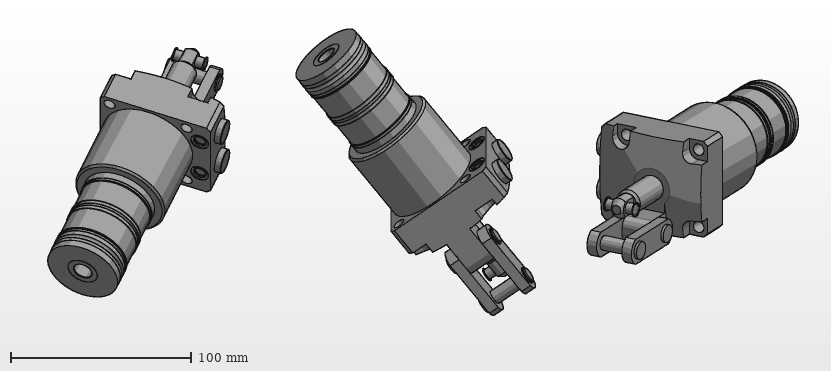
import cadquery as cq
import math


OVERALL_LENGTH = 175.5
CLEARANCE = 1.8

FLANGE_LEFT = 28.6
FLANGE_RIGHT = 37.4
FLANGE_HALF_HEIGHT = 57.0 / 2
FLANGE_CORNER = 2.5
CAP_TOP = 29.1
CAP_FLAT_RADIUS = 11.4
CAP_ANGLE = 15
BOLT_OFFSET = 23.0
BOLT_RADIUS = 3.3
SEAT_RADIUS = 6.0
SEAT_HEIGHT = 17.0

LINK_INNER = 8.0
LINK_THICKNESS = 6.1
LINK_OUTER = LINK_INNER + LINK_THICKNESS
LINK_HEIGHT = 15.0
LINK_END_RADIUS = 16.3 / 2
LINK_Z = LINK_HEIGHT / 2 - FLANGE_HALF_HEIGHT
NEAR_PIN_Y = 39.0
PIN_SPACING = 29.8
FAR_PIN_Y = NEAR_PIN_Y + PIN_SPACING
PIN_YS = [NEAR_PIN_Y, FAR_PIN_Y]
LUG_END = 48.3
LUG_FILLET = 5.3
FOOT_TOP = -5.3
PIN_RADIUS = 8.2 / 2
PIN_HEAD_RADIUS = 5.1
PIN_OVERHANG = 1.5
RETAINER_THICKNESS = 0.7

CYLINDER_RADIUS = 26.7
CYLINDER_LENGTH = 43.0
CYLINDER_CHAMFER = 1.2
SPIGOT_RADIUS = 21.0
SPIGOT_END = OVERALL_LENGTH - (FAR_PIN_Y + LINK_END_RADIUS)
RELIEF_DEPTH = 0.5
RELIEFS = [(49.1, 63.9), (70.0, 84.8)]
SEAL_GROOVE_STARTS = [47.0, 66.2, 85.6]
SEAL_GROOVE_WIDTH = 1.5
SEAL_GROOVE_DEPTH = 0.4
RING_GROOVE_CENTRE = 91.3
RING_GROOVE_RADIUS = 1.2
TIP_START = 94.6
TIP_STEP = 0.2
END_PORT_RADIUS = 5.3
END_PORT_DEPTH = 10.5
END_PORT_CHAMFER = 0.4
SPOT_FACE_RADIUS = 8.8
SPOT_FACE_DEPTH = 0.2

PORT_X = 30.7
PORT_Z = 14.0
PORT_RADIUS = 3.7
PORT_DEPTH = 1.4
PORT_STEP_RADIUS = 3.2
PORT_STEP_DEPTH = 1.8
SEAL_POCKET_RADIUS = 5.3
SEAL_POCKET_DEPTH = 0.5
PLUG_Y = 12.5
PLUG_Z = 13.0
PLUG_RADIUS = 7.0
PLUG_LENGTH = 3.9
PLUG_CHAMFER = 0.4

ROD_RADIUS = 14.5 / 2
ROD_SHOULDER = 56.3
ROD_SHOULDER_CHAMFER = 1.5
NECK_RADIUS = 11.8 / 2
NECK_WIDTH = 7.7
NECK_END = 68.8
NECK_CHAMFER = 3.2
ROD_PIN_Y = 63.0
ROD_PIN_RADIUS = 3.2
ROD_PIN_HALF_LENGTH = 9.3
ROD_PIN_HEAD_RADIUS = 4.0
ROD_PIN_HEAD_THICKNESS = 0.5


def cylinder_along_y(radius, start, end, x=0.0, z=0.0):
    return cq.Workplane("XZ", origin=(x, start, z)).circle(radius).extrude(start - end)


def cylinder_along_x(radius, start, end, y, z=0.0):
    return cq.Workplane("YZ", origin=(start, y, z)).circle(radius).extrude(end - start)


def box_between(x_range, y_range, z_range):
    sizes = [high - low for low, high in (x_range, y_range, z_range)]
    corner = (x_range[0], y_range[0], z_range[0])
    return cq.Workplane("XY").box(*sizes, centered=False).translate(corner)


def ring_cut(start, end, depth):
    """Square groove of the spigot between two distances below the mounting face."""
    outer = cylinder_along_y(SPIGOT_RADIUS + CLEARANCE, -end, -start)
    return outer.cut(cylinder_along_y(SPIGOT_RADIUS - depth, -end, -start))


def make_flange():
    flange = box_between(
        (-FLANGE_LEFT, FLANGE_RIGHT), (0, CAP_TOP), (-FLANGE_HALF_HEIGHT, FLANGE_HALF_HEIGHT)
    )
    flange = flange.edges("|Y").chamfer(FLANGE_CORNER)

    reach = FLANGE_LEFT + FLANGE_RIGHT
    shoulder = CAP_TOP - (reach - CAP_FLAT_RADIUS) * math.tan(math.radians(CAP_ANGLE))
    envelope = (
        cq.Workplane("XY")
        .polyline([(0, 0), (reach, 0), (reach, shoulder), (CAP_FLAT_RADIUS, CAP_TOP), (0, CAP_TOP)])
        .close()
        .revolve(360, (0, 0, 0), (0, 1, 0))
    )
    return flange.intersect(envelope)


def bolt_cut(side_x, side_z):
    """Bolt hole and the open recess around its head; the -X recesses are open on two sides."""
    x = side_x * BOLT_OFFSET
    z = side_z * BOLT_OFFSET
    far_z = side_z * (FLANGE_HALF_HEIGHT + CLEARANCE)
    seat = cylinder_along_y(SEAT_RADIUS, SEAT_HEIGHT, CAP_TOP, x, z)
    slot = box_between(
        (x - SEAT_RADIUS, x + SEAT_RADIUS), (SEAT_HEIGHT, CAP_TOP), sorted((z, far_z))
    )
    seat = seat.union(slot)
    if side_x < 0:
        side_slot = box_between(
            (-FLANGE_LEFT - CLEARANCE, x), (SEAT_HEIGHT, CAP_TOP), sorted((z - side_z * SEAT_RADIUS, far_z))
        )
        seat = seat.union(side_slot)
    return seat.union(cylinder_along_y(BOLT_RADIUS, 0, CAP_TOP, x, z))


def make_lower_body():
    """Cylinder and grooved spigot, with the port in the end face."""
    cylinder = cylinder_along_y(CYLINDER_RADIUS, -CYLINDER_LENGTH, 0)
    cylinder = cylinder.faces("<Y").chamfer(CYLINDER_CHAMFER)
    body = cylinder.union(cylinder_along_y(SPIGOT_RADIUS, -SPIGOT_END, 0))

    for start, end in RELIEFS:
        body = body.cut(ring_cut(start, end, RELIEF_DEPTH))
    for start in SEAL_GROOVE_STARTS:
        body = body.cut(ring_cut(start, start + SEAL_GROOVE_WIDTH, SEAL_GROOVE_DEPTH))
    body = body.cut(ring_cut(TIP_START, SPIGOT_END, TIP_STEP))

    ring_groove = (
        cq.Workplane("XY")
        .center(SPIGOT_RADIUS, -RING_GROOVE_CENTRE)
        .circle(RING_GROOVE_RADIUS)
        .revolve(360, (-SPIGOT_RADIUS, 0, 0), (-SPIGOT_RADIUS, 1, 0))
    )
    body = body.cut(ring_groove)

    port_end = SPOT_FACE_DEPTH - SPIGOT_END
    body = body.cut(cylinder_along_y(SPOT_FACE_RADIUS, -SPIGOT_END, port_end))
    port = cylinder_along_y(END_PORT_RADIUS, port_end, END_PORT_DEPTH - SPIGOT_END)
    mouth = cq.Workplane("XZ", origin=(0, port_end, 0)).circle(END_PORT_RADIUS + END_PORT_CHAMFER)
    mouth = mouth.extrude(-END_PORT_CHAMFER, taper=45)
    return body.cut(port).cut(mouth)


def oil_port(z):
    pocket = cylinder_along_y(SEAL_POCKET_RADIUS, 0, SEAL_POCKET_DEPTH, PORT_X, z)
    bore = cylinder_along_y(PORT_RADIUS, 0, PORT_DEPTH, PORT_X, z)
    step = cylinder_along_y(PORT_STEP_RADIUS, 0, PORT_STEP_DEPTH, PORT_X, z)
    return pocket.union(bore).union(step)


def make_plug(z):
    plug = cylinder_along_x(PLUG_RADIUS, FLANGE_RIGHT, FLANGE_RIGHT + PLUG_LENGTH, PLUG_Y, z)
    return plug.faces(">X").chamfer(PLUG_CHAMFER)


def make_rod():
    """Piston rod, its flattened neck and the headed cross pin through the neck."""
    shaft = cylinder_along_y(ROD_RADIUS, 0, ROD_SHOULDER).faces(">Y").chamfer(ROD_SHOULDER_CHAMFER)
    neck = cylinder_along_y(NECK_RADIUS, ROD_SHOULDER, NECK_END).faces(">Y").chamfer(NECK_CHAMFER)
    flats = box_between(
        (-NECK_WIDTH / 2, NECK_WIDTH / 2), (ROD_SHOULDER, NECK_END), (-NECK_RADIUS, NECK_RADIUS)
    )
    rod = shaft.union(neck.intersect(flats))

    end = ROD_PIN_HALF_LENGTH
    rod = rod.union(cylinder_along_x(ROD_PIN_RADIUS, -end, end, ROD_PIN_Y))
    for start in (-end, end - ROD_PIN_HEAD_THICKNESS):
        head = cylinder_along_x(ROD_PIN_HEAD_RADIUS, start, start + ROD_PIN_HEAD_THICKNESS, ROD_PIN_Y)
        rod = rod.union(head)
    return rod


def make_lug():
    lug = box_between(
        (-LINK_INNER, LINK_INNER), (0, LUG_END), (-FLANGE_HALF_HEIGHT, LINK_HEIGHT - FLANGE_HALF_HEIGHT)
    )
    lug = lug.faces(">Y").edges("|X").fillet(LUG_FILLET)
    pad = box_between((-LINK_INNER, LINK_INNER), (0, CAP_TOP), (-FLANGE_HALF_HEIGHT, FOOT_TOP))
    lug = lug.union(pad)
    return lug.cut(cylinder_along_x(PIN_RADIUS, -LINK_INNER, LINK_INNER, NEAR_PIN_Y, LINK_Z))


def make_housing():
    housing = make_flange()
    for side_x in (-1, 1):
        for side_z in (-1, 1):
            housing = housing.cut(bolt_cut(side_x, side_z))
    for side_z in (-1, 1):
        housing = housing.cut(oil_port(side_z * PORT_Z))
        housing = housing.union(make_plug(side_z * PLUG_Z))
    return housing.union(make_lower_body()).union(make_lug()).union(make_rod())


def make_link(start_x):
    """Link plate whose ends are arcs about the pin holes, cut off by the long edges."""
    half = LINK_HEIGHT / 2
    near = NEAR_PIN_Y
    far = FAR_PIN_Y
    arc_run = math.sqrt(LINK_END_RADIUS**2 - half**2)
    return (
        cq.Workplane("YZ", origin=(start_x, 0, LINK_Z))
        .moveTo(near - arc_run, -half)
        .lineTo(far + arc_run, -half)
        .threePointArc((far + LINK_END_RADIUS, 0), (far + arc_run, half))
        .lineTo(near - arc_run, half)
        .threePointArc((near - LINK_END_RADIUS, 0), (near - arc_run, -half))
        .close()
        .pushPoints([(y, 0) for y in PIN_YS])
        .circle(PIN_RADIUS)
        .extrude(LINK_THICKNESS)
    )


def make_link_pin(y):
    """Pin through both links: head on the -X side, retaining ring on the +X side."""
    end = LINK_OUTER + PIN_OVERHANG
    shank = cylinder_along_x(PIN_RADIUS, -end, end, y, LINK_Z)
    head = cylinder_along_x(PIN_HEAD_RADIUS, -end, -LINK_OUTER, y, LINK_Z)
    retainer = cylinder_along_x(PIN_HEAD_RADIUS, LINK_OUTER, LINK_OUTER + RETAINER_THICKNESS, y, LINK_Z)
    return shank.union(head).union(retainer)


housing = make_housing()
links = [make_link(start_x) for start_x in (-LINK_OUTER, LINK_INNER)]
link_pins = [make_link_pin(y) for y in PIN_YS]

result = cq.Compound.makeCompound([body.val() for body in [housing, *links, *link_pins]])